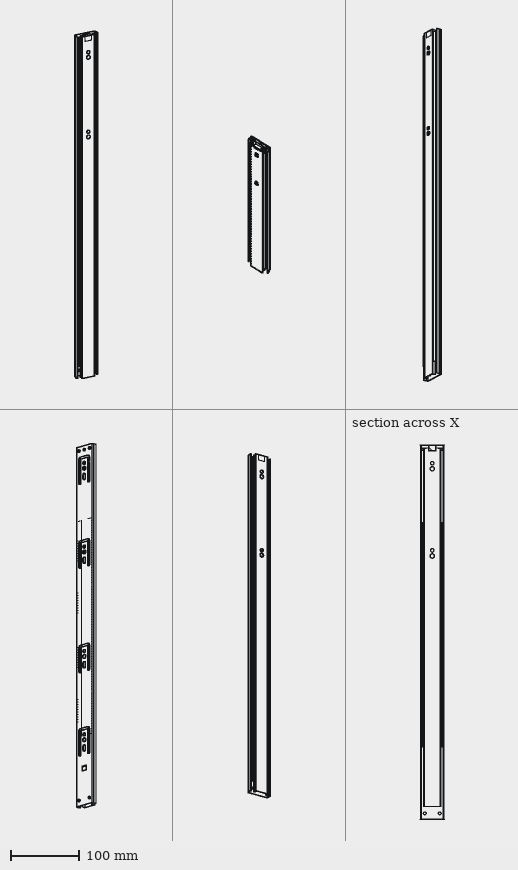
import cadquery as cq
import math


LENGTH = 550.0
DEPTH = 12.5
WIDTH = 36.0
SHEET = 1.4

TOP = LENGTH / 2
BOTTOM = -TOP
FRONT = DEPTH / 2
BACK = -DEPTH / 2

OUTER_BEND = 1.4
RACE_RADIUS = 4.1
RACE_X = 0.1
RACE_START_X = -2.5
LIP_X = 2.0

MIDDLE_TOP = 270.5
MIDDLE_BOTTOM = -256.0
MIDDLE_WEB_X = -3.6
MIDDLE_FLANGE_Y = 12.5
MIDDLE_BEND = 0.8
FLARE_START_X = -0.3
FLARE_PEAK_X = 3.0
FLARE_PEAK_Y = 15.0
FLARE_END_X = 5.5
FLARE_END_Y = 13.0
MIDDLE_LIP_Y = 12.0

INNER_FLANGE_Y = 11.0
INNER_BEND = 1.4
GROOVE_DEPTH = 1.0
INNER_EDGE_X = 0.3

TONGUE_TOPS = [259.0, 131.0, -29.0, -157.0]
SLOT_OUTER_Y = 11.0
SLOT_WIDTH = 3.5
SLOT_CORNER = 3.5
SLOT_HEIGHT = 42.0
UPPER_HOLE_DROP = 10.5
UPPER_HOLE_DIAMETER = 5.0
LOWER_HOLE_DROP = 18.5
LOWER_HOLE_DIAMETER = 6.0
OBLONG_DROP = 31.5
OBLONG_HEIGHT = 10.0
OBLONG_WIDTH = 5.0
ACCESS_TONGUES = TONGUE_TOPS[:2]

TOP_HOLE_Z = 269.0
BOTTOM_HOLE_Z = -266.0
END_HOLE_DIAMETER = 4.0
SIDE_HOLE_Y = 11.0
CORNER_HOLE_Y = 14.0
CORNER_HOLE_DIAMETER = 3.0

LANCE_TOP = -215.0
LANCE_HEIGHT = 7.0
LANCE_WIDTH = 9.0
LANCE_LENGTH = 1.5
LANCE_ANGLE = 35.0

RETAINER_SHEET = 0.8
RETAINER_X = -4.7
RETAINER_EDGE_X = 0.0
RETAINER_INNER_Y = 6.5
RETAINER_OUTER_Y = 14.5
RETAINER_BOTTOM = -168.5
RETAINER_LENGTH = 330.0

BLOCK_WIDTH = 11.0
BLOCK_HEIGHT = 8.0
BLOCK_SPLIT_X = 0.8


def box_between(x_range, y_range, z_range):
    """Box spanning the given (low, high) ranges."""
    sizes = [high - low for low, high in (x_range, y_range, z_range)]
    corner = (x_range[0], y_range[0], z_range[0])
    return cq.Workplane("XY").box(*sizes, centered=False).translate(corner)


def both_halves(half_outline, bottom, top):
    """Rail from the outline of its +Y half."""
    half = half_outline.close().extrude(top - bottom)
    return half.union(half.mirror("XZ")).translate((0, 0, bottom))


def web_plane():
    """Workplane on the outer web's outer face, where every cutter through the web starts."""
    return cq.Workplane("YZ", origin=(BACK, 0, 0))


def round_holes(tongue_tops):
    """Cutters along X for the two round holes of each tongue, long enough for all the rails."""
    cutters = cq.Workplane("YZ")
    for drop, diameter in (
        (UPPER_HOLE_DROP, UPPER_HOLE_DIAMETER),
        (LOWER_HOLE_DROP, LOWER_HOLE_DIAMETER),
    ):
        centres = [(0, z - drop) for z in tongue_tops]
        cutters = cutters.add(web_plane().pushPoints(centres).circle(diameter / 2).extrude(DEPTH))
    return cutters.combine()


def tongue_slot(tongue_top):
    """U slot around one tongue, with rounded upper corners and round leg ends."""
    inner_y = SLOT_OUTER_Y - SLOT_WIDTH
    leg_end = tongue_top - SLOT_HEIGHT + SLOT_WIDTH / 2
    return (
        web_plane()
        .moveTo(-SLOT_OUTER_Y, leg_end)
        .lineTo(-SLOT_OUTER_Y, tongue_top - SLOT_CORNER)
        .tangentArcPoint((SLOT_CORNER, SLOT_CORNER))
        .lineTo(SLOT_OUTER_Y - SLOT_CORNER, tongue_top)
        .tangentArcPoint((SLOT_CORNER, -SLOT_CORNER))
        .lineTo(SLOT_OUTER_Y, leg_end)
        .tangentArcPoint((-SLOT_WIDTH, 0))
        .lineTo(inner_y, tongue_top - SLOT_WIDTH)
        .lineTo(-inner_y, tongue_top - SLOT_WIDTH)
        .lineTo(-inner_y, leg_end)
        .tangentArcPoint((-SLOT_WIDTH, 0))
        .close()
        .extrude(SHEET)
    )


def oblong_holes():
    """Upright oblong hole at the foot of each tongue."""
    centres = [(0, z - OBLONG_DROP) for z in TONGUE_TOPS]
    return web_plane().pushPoints(centres).slot2D(OBLONG_HEIGHT, OBLONG_WIDTH, 90).extrude(SHEET)


def end_holes(y_places, z, diameter):
    """Round holes through the outer web, all at one height."""
    return web_plane().pushPoints([(y, z) for y in y_places]).circle(diameter / 2).extrude(SHEET)


def lance_window():
    """Rectangular opening below the hinge of the lanced stop."""
    centre_z = LANCE_TOP - LANCE_HEIGHT / 2
    return web_plane().center(0, centre_z).rect(LANCE_WIDTH, LANCE_HEIGHT).extrude(SHEET)


def lance_tab():
    """Tab hinged at the top of its window and bent inward and down."""
    angle = math.radians(LANCE_ANGLE)
    along = (LANCE_LENGTH * math.sin(angle), -LANCE_LENGTH * math.cos(angle))
    across = (SHEET * math.cos(angle), SHEET * math.sin(angle))
    return (
        cq.Workplane("XZ", origin=(0, LANCE_WIDTH / 2, 0))
        .moveTo(BACK, LANCE_TOP)
        .line(*along)
        .line(*across)
        .line(-along[0], -along[1])
        .lineTo(BACK + SHEET, LANCE_TOP)
        .close()
        .extrude(LANCE_WIDTH)
    )


def outer_rail_section():
    """+Y half of the outer rail: web, bend, flat and the bulged ball race."""
    race_y = WIDTH / 2 - RACE_RADIUS
    race_inside = RACE_RADIUS - SHEET
    flat_y = race_y + math.sqrt(RACE_RADIUS**2 - (RACE_START_X - RACE_X) ** 2)
    lip_outer_y = race_y + math.sqrt(RACE_RADIUS**2 - (LIP_X - RACE_X) ** 2)
    lip_inner_y = race_y + math.sqrt(race_inside**2 - (LIP_X - RACE_X) ** 2)
    inside_y = flat_y - SHEET
    inside_start_x = RACE_X - math.sqrt(race_inside**2 - (inside_y - race_y) ** 2)
    return (
        cq.Workplane("XY")
        .moveTo(BACK, 0)
        .lineTo(BACK, flat_y - OUTER_BEND)
        .tangentArcPoint((OUTER_BEND, OUTER_BEND))
        .lineTo(RACE_START_X, flat_y)
        .threePointArc((RACE_X, WIDTH / 2), (LIP_X, lip_outer_y))
        .lineTo(LIP_X, lip_inner_y)
        .threePointArc((RACE_X, WIDTH / 2 - SHEET), (inside_start_x, inside_y))
        .lineTo(BACK + SHEET, inside_y)
        .lineTo(BACK + SHEET, 0)
    )


def make_outer_rail():
    rail = both_halves(outer_rail_section(), BOTTOM, TOP)
    for tongue_top in TONGUE_TOPS:
        rail = rail.cut(tongue_slot(tongue_top))
    rail = rail.cut(round_holes(TONGUE_TOPS)).cut(oblong_holes())
    side_places = (-SIDE_HOLE_Y, SIDE_HOLE_Y)
    corner_places = (-CORNER_HOLE_Y, CORNER_HOLE_Y)
    rail = rail.cut(end_holes((0, *side_places), TOP_HOLE_Z, END_HOLE_DIAMETER))
    rail = rail.cut(end_holes(corner_places, TOP_HOLE_Z, CORNER_HOLE_DIAMETER))
    rail = rail.cut(end_holes(side_places, BOTTOM_HOLE_Z, END_HOLE_DIAMETER))
    rail = rail.cut(lance_window())
    return rail.union(lance_tab())


def make_middle_rail():
    """Channel whose flanges flare out beside the outer lips and slope back in to the front."""
    outline = (
        cq.Workplane("XY")
        .moveTo(MIDDLE_WEB_X, 0)
        .lineTo(MIDDLE_WEB_X, MIDDLE_FLANGE_Y - MIDDLE_BEND)
        .tangentArcPoint((MIDDLE_BEND, MIDDLE_BEND))
        .lineTo(FLARE_START_X, MIDDLE_FLANGE_Y)
        .lineTo(FLARE_PEAK_X, FLARE_PEAK_Y)
        .lineTo(FLARE_END_X, FLARE_END_Y)
        .lineTo(FRONT, MIDDLE_LIP_Y)
        .lineTo(FLARE_END_X, FLARE_END_Y - SHEET)
        .lineTo(FLARE_PEAK_X, FLARE_PEAK_Y - SHEET)
        .lineTo(FLARE_START_X, MIDDLE_FLANGE_Y - SHEET)
        .lineTo(MIDDLE_WEB_X + SHEET, MIDDLE_FLANGE_Y - SHEET)
        .lineTo(MIDDLE_WEB_X + SHEET, 0)
    )
    return both_halves(outline, MIDDLE_BOTTOM, MIDDLE_TOP).cut(round_holes(ACCESS_TONGUES))


def make_inner_rail():
    """Channel with its web in front and a ball groove along the outside of each flange."""
    bend_x = FRONT - INNER_BEND
    groove_x = (bend_x + INNER_EDGE_X) / 2
    inside_y = INNER_FLANGE_Y - SHEET
    outline = (
        cq.Workplane("XY")
        .moveTo(FRONT, 0)
        .lineTo(FRONT, INNER_FLANGE_Y - INNER_BEND)
        .tangentArcPoint((-INNER_BEND, INNER_BEND))
        .threePointArc((groove_x, INNER_FLANGE_Y - GROOVE_DEPTH), (INNER_EDGE_X, INNER_FLANGE_Y))
        .lineTo(INNER_EDGE_X, inside_y)
        .threePointArc((groove_x, inside_y - GROOVE_DEPTH), (FRONT - SHEET, inside_y))
        .lineTo(FRONT - SHEET, 0)
    )
    return both_halves(outline, BOTTOM, TOP).cut(round_holes(ACCESS_TONGUES))


def make_retainer(side):
    """L strip on the side of the slide given by the sign of Y."""
    z_range = (RETAINER_BOTTOM, RETAINER_BOTTOM + RETAINER_LENGTH)
    across_web = box_between(
        (RETAINER_X, RETAINER_X + RETAINER_SHEET), (RETAINER_INNER_Y, RETAINER_OUTER_Y), z_range
    )
    along_flange = box_between(
        (RETAINER_X, RETAINER_EDGE_X), (RETAINER_OUTER_Y - RETAINER_SHEET, RETAINER_OUTER_Y), z_range
    )
    strip = across_web.union(along_flange)
    return strip if side > 0 else strip.mirror("XZ")


def make_end_block(x_range):
    return box_between(x_range, (-BLOCK_WIDTH / 2, BLOCK_WIDTH / 2), (TOP - BLOCK_HEIGHT, TOP))


outer_rail = make_outer_rail()
middle_rail = make_middle_rail()
inner_rail = make_inner_rail()
retainers = [make_retainer(side) for side in (1, -1)]
block_ranges = [(MIDDLE_WEB_X + SHEET, BLOCK_SPLIT_X), (BLOCK_SPLIT_X, FRONT - SHEET)]
end_blocks = [make_end_block(x_range) for x_range in block_ranges]

result = cq.Compound.makeCompound(
    [
        outer_rail.val(),
        middle_rail.val(),
        inner_rail.val(),
        *[retainer.val() for retainer in retainers],
        *[block.val() for block in end_blocks],
    ]
)